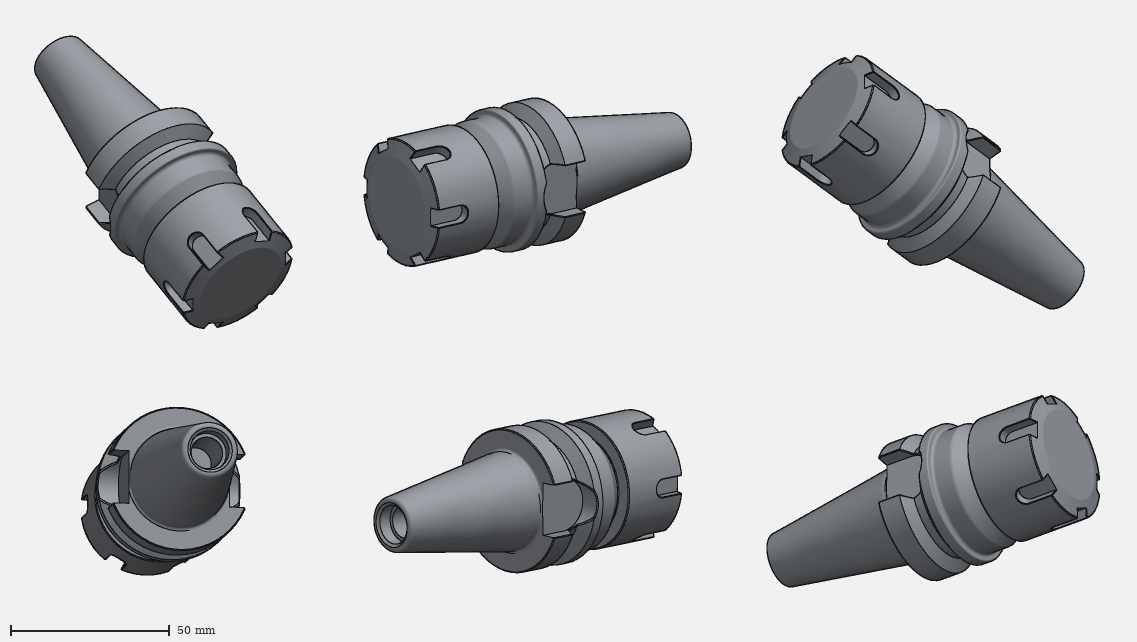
import cadquery as cq

length = 108.4

gauge_radius = 31.8 / 2
gauge_x = 48.3
taper_slope = 3.5 / 24
shank_end_fillet = 1.4
shank_base_fillet = 0.9

flange_radius = 46.0 / 2
flange_front_x = 50.4
flange_back_x = 70.2
groove_radius = 18.9
groove_x = 58.4
groove_width = 8.1
groove_wall_run = 2.6
flange_front_chamfer = 0.3
flange_back_fillet = 0.5

body_radius = 20.6
body_end_x = 77.4
body_end_fillet = 1.3
body_base_fillet = 1.1
neck_radius = 32.0 / 2
neck_x = 82.9

nut_radius = 41.2 / 2
nut_x = 83.5
nut_back_chamfer = 0.3
nut_shoulder_x = 106.9
nut_shoulder_chamfer = 0.3
nut_face_radius = 15.0

keyway_count = 2
keyway_width = 16.9
keyway_rim_chamfer = 0.3
keyway_end_x = 67.6
keyway_floor = 16.2

slot_count = 6
slot_width = 5.7
slot_rim_chamfer = 0.2
slot_start_x = 95.6
slot_floor = 17.2

pilot_radius = 12.5 / 2
pilot_depth = 5.2
thread_radius = 10.1 / 2
thread_depth = 23.8
mouth_radius = 7.2
mouth_depth = 0.8

cutter_overshoot = 1.1
tolerance = 0.01


def turned(points):
    """Solid of revolution about X from (x, radius) points, closed along the axis."""
    first_x = points[0][0]
    last_x = points[-1][0]
    outline = [(first_x, 0)] + points + [(last_x, 0)]
    return cq.Workplane("XY").polyline(outline).close().revolve(360, (0, 0, 0), (1, 0, 0))


def circle_edges(solid, x, radius):
    """Full-circle edges of the given radius centred on the axis at the given X."""
    found = []
    for edge in solid.edges("%CIRCLE").vals():
        same_place = abs(edge.Center().x - x) < tolerance
        if same_place and abs(edge.radius() - radius) < tolerance:
            found.append(edge)
    return solid.newObject(found)


def make_holder():
    """Turned body with its edge fillets and chamfers, before any cuts."""
    shank_end_radius = gauge_radius - taper_slope * gauge_x
    groove_end_x = groove_x + groove_width
    holder = turned([
        (0, shank_end_radius),
        (gauge_x, gauge_radius),
        (flange_front_x, gauge_radius),
        (flange_front_x, flange_radius),
        (groove_x, flange_radius),
        (groove_x + groove_wall_run, groove_radius),
        (groove_end_x - groove_wall_run, groove_radius),
        (groove_end_x, flange_radius),
        (flange_back_x, flange_radius),
        (flange_back_x, body_radius),
        (body_end_x, body_radius),
        (neck_x, neck_radius),
        (nut_x, neck_radius),
        (nut_x, nut_radius),
        (nut_shoulder_x - nut_shoulder_chamfer, nut_radius),
        (nut_shoulder_x, nut_radius - nut_shoulder_chamfer),
        (length, nut_face_radius),
    ])
    holder = circle_edges(holder, 0, shank_end_radius).fillet(shank_end_fillet)
    holder = circle_edges(holder, flange_front_x, gauge_radius).fillet(shank_base_fillet)
    holder = circle_edges(holder, flange_front_x, flange_radius).chamfer(flange_front_chamfer)
    holder = circle_edges(holder, flange_back_x, flange_radius).fillet(flange_back_fillet)
    holder = circle_edges(holder, flange_back_x, body_radius).fillet(body_base_fillet)
    holder = circle_edges(holder, body_end_x, body_radius).fillet(body_end_fillet)
    return circle_edges(holder, nut_x, nut_radius).chamfer(nut_back_chamfer)


def shank_hole():
    """Cutter for the stepped hole with its flared mouth."""
    return turned([
        (0, mouth_radius),
        (mouth_depth, pilot_radius),
        (pilot_depth, pilot_radius),
        (pilot_depth, thread_radius),
        (thread_depth, thread_radius),
    ])


def round_ended_cut(start_x, end_x, round_x, width, floor):
    """Cutter on the -Y side: a flat-floored slot with one full-round end centred at round_x."""
    depth = flange_radius - floor + cutter_overshoot
    plane = cq.Workplane("XZ", origin=(0, -floor, 0))
    channel = plane.center((start_x + end_x) / 2, 0).rect(end_x - start_x, width).extrude(depth)
    rounding = plane.center(round_x, 0).circle(width / 2).extrude(depth)
    return channel.union(rounding)


def cut_around(solid, cutter, count):
    """Cut equally spaced copies of the cutter around the X axis."""
    for index in range(count):
        solid = solid.cut(cutter.rotate((0, 0, 0), (1, 0, 0), index * 360 / count))
    return solid


def rim_edges(solid, start_x, end_x, width, floor):
    """Outer edges of the -Y cut, where its side walls meet the turned surface."""
    found = []
    for edge in solid.edges().vals():
        box = edge.BoundingBox()
        across = max(abs(box.zmin), abs(box.zmax))
        inside = box.xmin > start_x - tolerance and box.xmax < end_x + tolerance
        radial = box.xlen < tolerance and box.zlen < tolerance
        above_floor = box.ymin < -floor - tolerance
        if inside and not radial and across < width / 2 + tolerance and above_floor:
            found.append(edge)
    return solid.newObject(found)


def bevel_rims(solid, count, start_x, end_x, width, floor, bevel):
    """Chamfer the outer rims of equally spaced cuts, turning each cut to -Y in its turn."""
    for _ in range(count):
        solid = rim_edges(solid, start_x, end_x, width, floor).chamfer(bevel)
        solid = solid.rotate((0, 0, 0), (1, 0, 0), 360 / count)
    return solid


keyway_start_x = flange_front_x - shank_base_fillet
keyway_round_x = keyway_end_x - keyway_width / 2
keyway = round_ended_cut(keyway_start_x, keyway_round_x, keyway_round_x, keyway_width, keyway_floor)

slot_round_x = slot_start_x + slot_width / 2
slot = round_ended_cut(slot_round_x, length, slot_round_x, slot_width, slot_floor)

result = make_holder().cut(shank_hole())
result = cut_around(result, keyway, keyway_count)
result = cut_around(result, slot, slot_count)
result = bevel_rims(
    result, keyway_count, flange_front_x, keyway_end_x, keyway_width, keyway_floor, keyway_rim_chamfer
)
result = bevel_rims(
    result, slot_count, slot_start_x, length, slot_width, slot_floor, slot_rim_chamfer
)